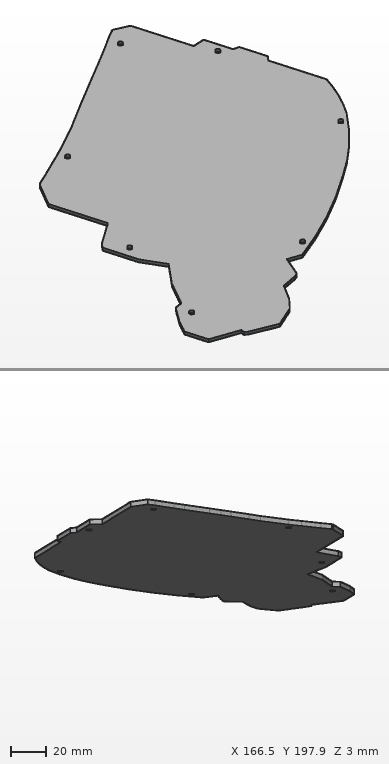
import cadquery as cq

length_x = 166.52
length_y = 197.92
thickness = 3.0
hole_diameter = 3.0

left = -length_x / 2
right = length_x / 2
back = length_y / 2
front = -length_y / 2

back_edge_y = 96.25
back_left_edge_y = 90.0
front_left_edge_y = -44.1
front_tab_y = -61.3

hole_centers = [
    (-75.4, 76.2),
    (-22.2, 91.9),
    (60.9, 71.8),
    (72.4, -15.1),
    (-73.5, -8.9),
    (-17.0, -55.4),
    (32.6, -84.8),
]


def plate_outline():
    """Closed plate outline, followed clockwise from the rear left corner."""
    outline = cq.Workplane("XY").moveTo(left, 83.4)

    outline = (
        outline.lineTo(-74.7, back_left_edge_y)
        .lineTo(-36.2, back_left_edge_y)
        .lineTo(-32.6, back_edge_y)
        .lineTo(-14.7, back_edge_y)
        .lineTo(-12.0, back)
        .lineTo(5.5, back)
        .lineTo(7.0, back_edge_y)
        .lineTo(42.4, back_edge_y)
    )

    outline = (
        outline.threePointArc((53.0, 88.2), (61.9, 78.3))
        .threePointArc((70.4, 61.0), (76.3, 36.0))
        .threePointArc((78.5, 3.0), (75.7, -23.8))
    )

    outline = (
        outline.lineTo(68.8, -29.9)
        .lineTo(77.8, -37.3)
        .lineTo(77.6, -39.3)
        .lineTo(74.2, -48.0)
        .lineTo(80.6, -55.7)
        .lineTo(right, -61.5)
    )

    outline = (
        outline.lineTo(82.0, -73.8)
        .lineTo(67.4, -85.6)
        .lineTo(65.4, -86.7)
        .lineTo(63.4, -86.0)
        .lineTo(48.6, front)
        .lineTo(34.0, front)
        .lineTo(28.9, -93.8)
        .lineTo(23.0, -85.1)
        .lineTo(24.8, -81.0)
        .lineTo(14.8, -70.3)
        .lineTo(7.9, -58.0)
    )

    outline = (
        outline.lineTo(-9.0, front_tab_y)
        .lineTo(-31.1, front_tab_y)
        .lineTo(-32.7, -58.6)
        .lineTo(-34.9, front_left_edge_y)
        .lineTo(-70.9, front_left_edge_y)
        .lineTo(-72.1, -42.9)
        .lineTo(-80.6, -33.4)
        .lineTo(-81.0, -32.4)
    )

    outline = (
        outline.lineTo(-80.4, -25.7)
        .lineTo(-79.7, -14.0)
        .lineTo(-79.2, -6.5)
        .lineTo(-79.2, 11.3)
        .lineTo(-79.8, 18.8)
        .lineTo(-80.5, 30.4)
        .lineTo(-80.8, 36.6)
        .lineTo(-81.2, 44.1)
        .lineTo(-81.9, 59.8)
        .lineTo(-82.3, 66.7)
        .lineTo(-83.2, 79.0)
    )
    return outline.close()


def screw_holes():
    """Cylinders that cut the screw holes through the full thickness."""
    return (
        cq.Workplane("XY")
        .workplane(offset=-thickness / 2)
        .pushPoints(hole_centers)
        .circle(hole_diameter / 2)
        .extrude(thickness)
    )


plate = plate_outline().extrude(thickness).translate((0, 0, -thickness / 2))
result = plate.cut(screw_holes())